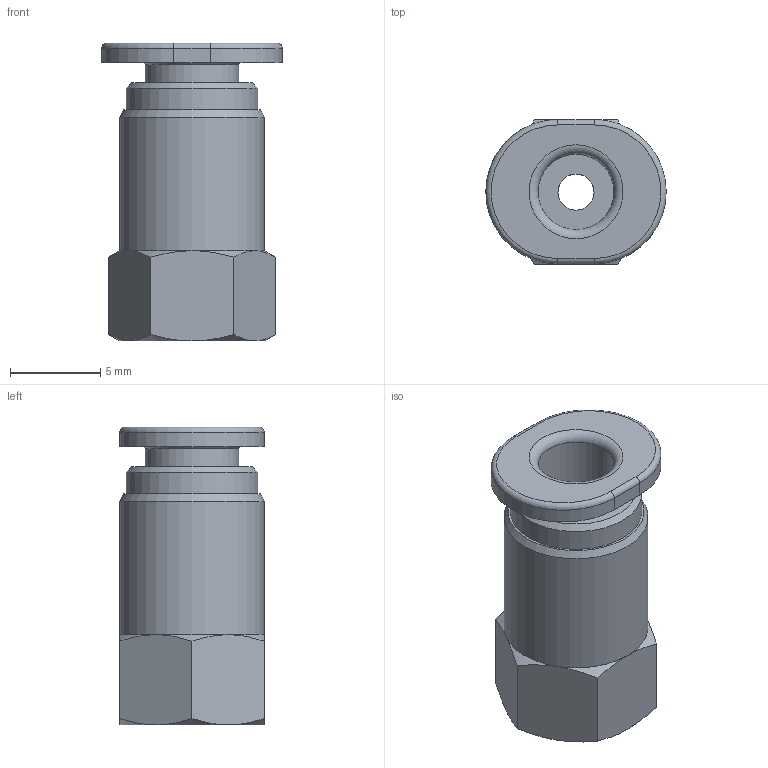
import cadquery as cq
import math

HEX_SIDES = 6
ACROSS_FLATS = 8.0
HEX_HEIGHT = 5.0
HEX_CORNER_RADIUS = ACROSS_FLATS / 2 / math.cos(math.pi / HEX_SIDES)
HEX_CHAMFER_ANGLE = 30.0
HEX_CORNER_DROP = (HEX_CORNER_RADIUS - ACROSS_FLATS / 2) * math.tan(math.radians(HEX_CHAMFER_ANGLE))

TOTAL_HEIGHT = 16.5
BODY_RADIUS = ACROSS_FLATS / 2
BODY_TOP = 12.8
BODY_CHAMFER_HEIGHT = 0.4
BODY_CHAMFER_ANGLE = 30.0
BODY_CHAMFER_WIDTH = BODY_CHAMFER_HEIGHT * math.tan(math.radians(BODY_CHAMFER_ANGLE))
COLLAR_RADIUS = 3.65
COLLAR_TOP = 14.3
COLLAR_CHAMFER = 0.3
NECK_RADIUS = 2.6
NECK_FLARE = 0.1

FLANGE_LENGTH = 10.0
FLANGE_WIDTH = 8.0
FLANGE_THICKNESS = 1.1
FLANGE_BOTTOM = TOTAL_HEIGHT - FLANGE_THICKNESS
FLANGE_FILLET = 0.3

SOCKET_RADIUS = 2.1
SOCKET_MOUTH_FILLET = 0.5
SOCKET_FLOOR = HEX_HEIGHT
BORE_RADIUS = 1.0


def spin(outline):
    """Revolve a closed (radius, height) outline a full turn about the Z axis."""
    axis_start = (0, 0)
    axis_end = (0, 1)
    return outline.revolve(360, axis_start, axis_end)


def revolve_profile(points):
    """Solid of revolution from straight-sided (radius, height) points."""
    return spin(cq.Workplane("XZ").polyline(points).close())


def hex_base():
    """Hexagonal prism with its corners turned off by a cone at both ends."""
    prism = cq.Workplane("XY").polygon(HEX_SIDES, 2 * HEX_CORNER_RADIUS).extrude(HEX_HEIGHT)
    turned_blank = revolve_profile([
        (0, 0),
        (ACROSS_FLATS / 2, 0),
        (HEX_CORNER_RADIUS, HEX_CORNER_DROP),
        (HEX_CORNER_RADIUS, HEX_HEIGHT - HEX_CORNER_DROP),
        (ACROSS_FLATS / 2, HEX_HEIGHT),
        (0, HEX_HEIGHT),
    ])
    return prism.intersect(turned_blank)


def stepped_body():
    """Body, collar and neck, with the neck flaring out under the flange."""
    return revolve_profile([
        (0, HEX_HEIGHT),
        (BODY_RADIUS, HEX_HEIGHT),
        (BODY_RADIUS, BODY_TOP - BODY_CHAMFER_HEIGHT),
        (BODY_RADIUS - BODY_CHAMFER_WIDTH, BODY_TOP),
        (COLLAR_RADIUS, BODY_TOP),
        (COLLAR_RADIUS, COLLAR_TOP - COLLAR_CHAMFER),
        (COLLAR_RADIUS - COLLAR_CHAMFER, COLLAR_TOP),
        (NECK_RADIUS, COLLAR_TOP),
        (NECK_RADIUS, FLANGE_BOTTOM - NECK_FLARE),
        (NECK_RADIUS + NECK_FLARE, FLANGE_BOTTOM),
        (0, FLANGE_BOTTOM),
    ])


def flange():
    """Obround plate with its upper rim rounded."""
    plate = cq.Workplane("XY").workplane(offset=FLANGE_BOTTOM).slot2D(FLANGE_LENGTH, FLANGE_WIDTH)
    return plate.extrude(FLANGE_THICKNESS).faces(">Z").edges().fillet(FLANGE_FILLET)


def passage():
    """Tube socket with a rounded, flared mouth, plus the through bore."""
    mouth_start = TOTAL_HEIGHT - SOCKET_MOUTH_FILLET
    mouth_radius = SOCKET_RADIUS + SOCKET_MOUTH_FILLET
    arc_offset = SOCKET_MOUTH_FILLET * math.sqrt(0.5)
    arc_middle = (mouth_radius - arc_offset, mouth_start + arc_offset)
    outline = (
        cq.Workplane("XZ")
        .moveTo(0, 0)
        .lineTo(BORE_RADIUS, 0)
        .lineTo(BORE_RADIUS, SOCKET_FLOOR)
        .lineTo(SOCKET_RADIUS, SOCKET_FLOOR)
        .lineTo(SOCKET_RADIUS, mouth_start)
        .threePointArc(arc_middle, (mouth_radius, TOTAL_HEIGHT))
        .lineTo(0, TOTAL_HEIGHT)
        .close()
    )
    return spin(outline)


result = hex_base().union(stepped_body()).union(flange()).cut(passage())